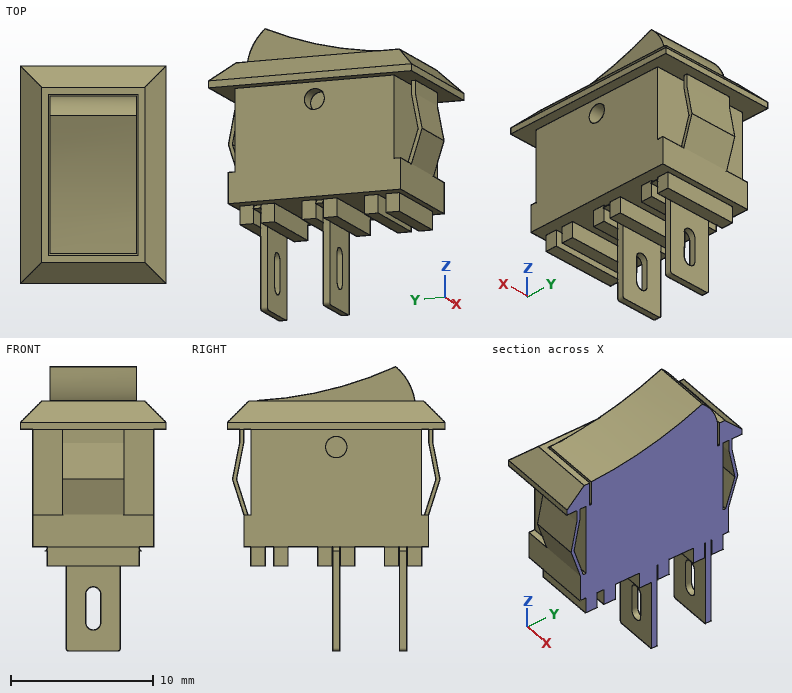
import cadquery as cq


bezel_width = 10.25
bezel_depth = 15.3
bezel_height = 2.0
bezel_lip = 0.5
bezel_slope = bezel_height - bezel_lip

rocker_width = 6.1
rocker_half_depth = 5.55
rocker_side_gap = 0.08
rocker_end_gap = 0.12
rocker_peak_y = 4.18
rocker_peak_z = 4.42
rocker_crown_mid_z = 2.92
rocker_front_z = 2.05
rocker_back_mid_y = 5.05
rocker_back_mid_z = 3.4

body_width = 8.52
body_half_depth = 6.0
base_half_depth = 6.5
base_top_z = -6.0
base_bottom_z = -8.25

pivot_diameter = 1.5
pivot_z = -1.25
pivot_depth = (body_width - rocker_width) / 2

clip_width = 4.3
clip_thickness = 0.3
clip_top_y = 6.8
clip_knee_y = 7.3
clip_bend_z = -0.95
clip_knee_z = -3.5

socket_pitch = 4.7
socket_width = 6.48
socket_depth = 2.62
socket_slot = 0.58
socket_bottom_z = -9.6

terminal_width = 3.82
terminal_thickness = 0.52
overall_height = 20.0
terminal_bottom_z = rocker_peak_z - overall_height
terminal_corner_radius = 0.2
terminal_positions = (0, socket_pitch)
eye_width = 1.05
eye_length = 3.02
eye_center_z = -12.58

shoulder_half_width = 3.38
shoulder_top_half_width = 3.08
shoulder_bottom_z = -8.55


def box_between(width, half_depth, z_low, z_high):
    """Block centred on X and Y, between two heights."""
    block = cq.Workplane("XY").workplane(offset=z_low).rect(width, 2 * half_depth)
    return block.extrude(z_high - z_low)


def make_bezel():
    bezel = cq.Workplane("XY").box(bezel_width, bezel_depth, bezel_height, centered=(True, True, False))
    bezel = bezel.faces(">Z").chamfer(bezel_slope)
    opening = box_between(
        rocker_width + 2 * rocker_side_gap, rocker_half_depth + rocker_end_gap, 0, bezel_height
    )
    return bezel.cut(opening)


def make_rocker():
    profile = (
        cq.Workplane("YZ")
        .moveTo(-rocker_half_depth, 0)
        .lineTo(rocker_half_depth, 0)
        .lineTo(rocker_half_depth, bezel_height)
        .threePointArc((rocker_back_mid_y, rocker_back_mid_z), (rocker_peak_y, rocker_peak_z))
        .threePointArc((0, rocker_crown_mid_z), (-rocker_half_depth, rocker_front_z))
        .close()
    )
    return profile.extrude(rocker_width / 2, both=True)


def make_housing():
    body = box_between(body_width, body_half_depth, base_top_z, 0)
    base = box_between(body_width, base_half_depth, base_bottom_z, base_top_z)
    housing = body.union(base)
    for side in (-1, 1):
        pivot = cq.Workplane("YZ", origin=(side * body_width / 2, 0, pivot_z)).circle(pivot_diameter / 2)
        housing = housing.cut(pivot.extrude(-side * pivot_depth))
    return housing


def make_clip():
    """Bent leaf spring on the +Y side, of constant thickness along Y."""
    outer = [
        (clip_top_y, 0),
        (clip_top_y, clip_bend_z),
        (clip_knee_y, clip_knee_z),
        (base_half_depth, base_top_z),
    ]
    inner = [(y - clip_thickness, z) for y, z in reversed(outer)]
    return cq.Workplane("YZ").polyline(outer + inner).close().extrude(clip_width / 2, both=True)


def make_socket(y):
    """Pair of ribs under the base with a slot between them."""
    pair = box_between(socket_width, socket_depth / 2, socket_bottom_z, base_bottom_z)
    slot = box_between(socket_width, socket_slot / 2, socket_bottom_z, base_bottom_z)
    return pair.cut(slot).translate((0, y, 0))


def make_terminal(y):
    height = base_bottom_z - terminal_bottom_z
    blade = (
        cq.Workplane("XY")
        .box(terminal_width, terminal_thickness, height, centered=(True, True, False))
        .edges("|Y and <Z")
        .fillet(terminal_corner_radius)
        .translate((0, 0, terminal_bottom_z))
    )
    shoulder = (
        cq.Workplane("XZ")
        .polyline([
            (-shoulder_half_width, shoulder_bottom_z),
            (shoulder_half_width, shoulder_bottom_z),
            (shoulder_top_half_width, base_bottom_z),
            (-shoulder_top_half_width, base_bottom_z),
        ])
        .close()
        .extrude(terminal_thickness / 2, both=True)
    )
    eye = cq.Workplane("XZ").center(0, eye_center_z).slot2D(eye_length, eye_width, 90)
    eye = eye.extrude(terminal_thickness, both=True)
    return blade.union(shoulder).cut(eye).translate((0, y, 0))


clip = make_clip()
result = make_housing().union(make_bezel()).union(make_rocker())
result = result.union(clip).union(clip.mirror("XZ"))
for socket_y in (-socket_pitch, 0, socket_pitch):
    result = result.union(make_socket(socket_y))
for terminal_y in terminal_positions:
    result = result.union(make_terminal(terminal_y))